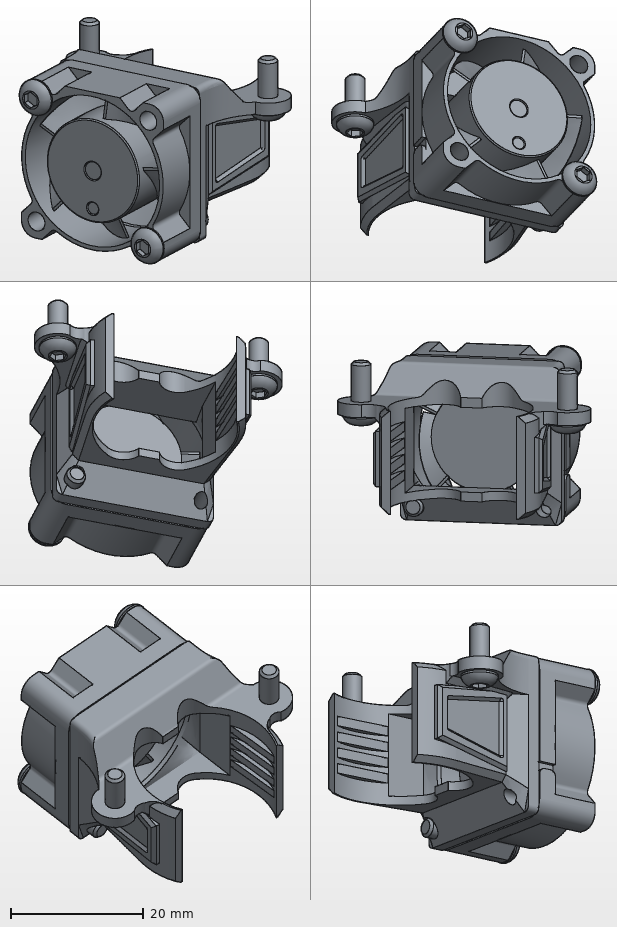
import cadquery as cq
import math


frame_size = 25.42
frame_depth = 10.53
frame_corner_radius = 2.5
flange_depth = 3.0
bore_diameter = 24.0
barrel_radius = 12.67
post_flank_offset = 3.65
pocket_round = 0.75
top_pocket_inner = 4.9
screw_pitch = 20.0

notch_top = -4.3
notch_ledge = -5.3
notch_depth = 0.65
notch_round = 0.97
notch_ledge_margin = 0.05

hub_diameter = 16.5
hub_face_diameter = 16.05
hub_front = 10.45
hub_back = 0.6
blade_count = 5
blade_tip_radius = 11.45
blade_front = 8.95
blade_back = 0.97
blade_twist = 57.0
blade_thickness = 0.43
blade_back_angle = 97.0
shaft_mark_diameter = 3.1
balance_hole_diameter = 2.2
balance_hole_z = -6.05
mark_depth = 0.15

screw_diameter = 3.0
screw_tip_diameter = 2.2
head_diameter = 5.7
head_face_diameter = 2.9
head_height = 1.65
head_rim = 0.3
socket_width = 2.2
socket_depth = 1.0
mount_screw_length = 8.0
fan_screw_length = 15.0
pilot_diameter = 2.2
pilot_depth = 5.45

entry_half = 12.48
entry_depth = 1.95
edge_round = 0.97
ear_top = 7.88
ear_thickness = 2.0
ear_bottom = ear_top - ear_thickness
ear_x = 15.95
ear_y = 13.8
ear_radius = 3.55
ear_flare = 1.0
ear_shift = 0.08
ear_end_angle = 103
ear_back = 18.95
slope_start_y = 5.42
slope_end_y = 9.05
slope_foot_y = 9.75
slope_round = 0.97

wing_half_height = 7.9
wing_back = 22.0
cylinder_y = 16.85
cylinder_radius = 11.0
wing_outer_radius = 12.25
wing_tilt = 6.8
wing_chamfer = 0.97
wing_front = 5.05
transition_side_z = -8.95
tab_half_width = 1.65
tab_y = 9.0
tab_round = 3.05
tab_round_x = 4.4

passage_half_width = 9.7
passage_half_height = 6.5
recess_depth = 0.78

rib_count = 4
rib_pitch = 2.5
rib_height = 1.5
rib_face = [(9.75, 11.7), (9.95, 15.8), (10.15, 21.05)]
rib_outer_x = 11.65
rib_root = 0.2

badge_raise = 0.55
badge_back = 19.45
badge_front = 4.85
badge_back_half_height = 4.25
badge_front_half_height = 6.5
badge_bevel = 0.55
badge_root = 0.78
badge_recess_back = 17.45
badge_recess_front = 6.6
badge_recess_back_half_height = 2.3
badge_recess_front_half_height = 4.25
badge_recess_depth = 0.45
badge_recess_bevel = 0.45

hole_reach = screw_pitch / 2
fan_hole_points = [(x, z) for x in (-hole_reach, hole_reach) for z in (-hole_reach, hole_reach)]
fan_screw_points = [(-hole_reach, hole_reach), (hole_reach, -hole_reach)]
free_hole_points = [(-hole_reach, -hole_reach), (hole_reach, hole_reach)]
mount_points = [(side * ear_x + ear_shift, ear_y) for side in (-1, 1)]


def frontal(y):
    """Sketch plane at Y = y with local axes X and Z; it extrudes toward -Y."""
    return cq.Workplane("XZ", origin=(0, y, 0))


def side_relief():
    """Space between two corner posts outside the barrel, on the +X side."""
    reach = frame_size / 2 + 0.4
    inner = barrel_radius / 2
    outline = [
        (inner, inner - post_flank_offset),
        (reach, reach - post_flank_offset),
        (reach, post_flank_offset - reach),
        (inner, post_flank_offset - inner),
    ]
    depth = frame_depth - flange_depth
    relief = frontal(-flange_depth).polyline(outline).close().extrude(depth)
    relief = relief.cut(frontal(-flange_depth).circle(barrel_radius).extrude(depth))
    return relief.edges("|Y").edges("<X").fillet(pocket_round)


def top_pocket():
    """V-shaped pocket beside the upper right corner post."""
    reach = frame_size / 2
    outer = reach - post_flank_offset
    half_width = (outer - top_pocket_inner) / 2
    outline = [
        (top_pocket_inner, reach),
        (outer, reach),
        (outer - half_width, reach - half_width),
    ]
    pocket = frontal(-flange_depth).polyline(outline).close().extrude(frame_depth - flange_depth)
    return pocket.edges("|Y").edges("<Z").fillet(pocket_round)


def cable_notch():
    """Notch in the left side of the flange above a ledge with rounded corners."""
    left = -frame_size / 2
    ledge_height = notch_round + notch_ledge_margin
    low = notch_ledge - ledge_height
    notch = cq.Workplane("XY").box(notch_depth, flange_depth, notch_top - low, centered=False)
    ledge = cq.Workplane("XY").box(notch_depth, flange_depth, ledge_height, centered=False)
    ledge = ledge.edges("|X and >Z").fillet(notch_round)
    return notch.cut(ledge).translate((left, -flange_depth, low))


def make_frame():
    frame = frontal(0).rect(frame_size, frame_size).extrude(frame_depth)
    frame = frame.edges("|Y").fillet(frame_corner_radius)
    for angle in (0, 90, 180):
        frame = frame.cut(side_relief().rotate((0, 0, 0), (0, 1, 0), angle))
    frame = frame.cut(top_pocket()).cut(top_pocket().mirror("YZ"))
    frame = frame.cut(cable_notch())
    frame = frame.cut(frontal(0).circle(bore_diameter / 2).extrude(frame_depth))
    holes = frontal(0).pushPoints(fan_hole_points).circle(screw_diameter / 2).extrude(frame_depth)
    return frame.cut(holes)


def blade(index):
    """Radial strip twisted about the fan axis, rooted inside the hub."""
    root_radius = hub_diameter / 2 - 0.4
    length = blade_tip_radius - root_radius
    strip = (
        frontal(-blade_back)
        .moveTo(root_radius + length / 2, 0)
        .rect(length, blade_thickness)
        .twistExtrude(blade_front - blade_back, blade_twist)
    )
    angle = blade_back_angle + index * 360 / blade_count
    return strip.rotate((0, 0, 0), (0, 1, 0), -angle)


def hub_mark(z, diameter):
    """Shallow round recess with sloping sides in the hub face."""
    return (
        frontal(-hub_front + mark_depth)
        .center(0, z)
        .circle(diameter / 2 - mark_depth)
        .workplane(offset=mark_depth)
        .circle(diameter / 2)
        .loft()
    )


def make_rotor():
    rotor = frontal(-hub_back).circle(hub_diameter / 2).extrude(hub_front - hub_back)
    rotor = rotor.faces("<Y").chamfer((hub_diameter - hub_face_diameter) / 2)
    for index in range(blade_count):
        rotor = rotor.union(blade(index))
    rotor = rotor.cut(hub_mark(0, shaft_mark_diameter))
    return rotor.cut(hub_mark(balance_hole_z, balance_hole_diameter))


def make_screw(length):
    """Button-head screw along Z: the head lies below Z = 0 and the shaft above it."""
    radius = screw_diameter / 2
    tip_radius = screw_tip_diameter / 2
    head_radius = head_diameter / 2
    face_radius = head_face_diameter / 2
    dome_bulge = 0.2
    dome_mid = (
        (head_radius + face_radius) / 2 + dome_bulge,
        -(head_rim + head_height) / 2 - 0.8 * dome_bulge,
    )
    profile = (
        cq.Workplane("XZ")
        .moveTo(0, -head_height)
        .lineTo(face_radius, -head_height)
        .threePointArc(dome_mid, (head_radius, -head_rim))
        .lineTo(head_radius, 0)
        .lineTo(radius, 0)
        .lineTo(radius, length - (radius - tip_radius))
        .lineTo(tip_radius, length)
        .lineTo(0, length)
        .close()
    )
    screw = profile.revolve(360, (0, 0, 0), (0, 1, 0))
    socket_corners = socket_width / math.cos(math.radians(30))
    socket = cq.Workplane("XY", origin=(0, 0, -head_height)).polygon(6, socket_corners)
    return screw.cut(socket.extrude(socket_depth).rotate((0, 0, 0), (0, 0, 1), 30))


def make_mount_screw(x, y):
    return make_screw(mount_screw_length).translate((x, y, ear_bottom))


def make_fan_screw(x, z):
    screw = make_screw(fan_screw_length).rotate((0, 0, 0), (1, 0, 0), -90)
    return screw.translate((x, -frame_depth, z))


def slope_envelope():
    """Side profile of the top: level over the flange, then down a slope to the ears."""
    envelope = (
        cq.Workplane("YZ", origin=(-ear_x, 0, 0))
        .moveTo(0, ear_bottom)
        .lineTo(0, entry_half)
        .lineTo(slope_start_y, entry_half)
        .lineTo(slope_end_y, ear_top)
        .lineTo(slope_foot_y, ear_top)
        .lineTo(slope_foot_y, ear_bottom)
        .close()
        .extrude(2 * ear_x)
    )
    for y, z in ((slope_start_y, entry_half), (slope_end_y, ear_top)):
        corner = cq.selectors.BoxSelector((-0.4, y - 0.05, z - 0.05), (0.4, y + 0.05, z + 0.05))
        envelope = envelope.edges(corner).fillet(slope_round)
    return envelope


def ear_plate(side, bottom, top):
    """Half of the plate with its ear between two heights, on the +X or -X side."""
    centre_x = ear_x + side * ear_shift
    neck_start = (entry_half, entry_depth)
    neck_end = (centre_x, ear_y - ear_radius)
    neck_dx = neck_end[0] - neck_start[0]
    neck_dy = neck_end[1] - neck_start[1]
    neck_radius = (neck_dx ** 2 + neck_dy ** 2) / (2 * neck_dx)
    half_sweep = math.asin(neck_dy / neck_radius) / 2
    neck_mid = (
        neck_start[0] + neck_radius * (1 - math.cos(half_sweep)),
        neck_start[1] + neck_radius * math.sin(half_sweep),
    )
    end_angle = math.radians(ear_end_angle)
    ear_end = (centre_x + ear_radius * math.cos(end_angle), ear_y + ear_radius * math.sin(end_angle))
    plate = (
        cq.Workplane("XY", origin=(0, 0, bottom))
        .lineTo(entry_half, 0)
        .lineTo(*neck_start)
        .threePointArc(neck_mid, neck_end)
        .threePointArc((centre_x + ear_radius, ear_y), ear_end)
        .threePointArc((13.75, 16.8), (12.85, 17.15))
        .threePointArc((11.65, 17.9), (11.15, ear_back))
        .lineTo(0, ear_back)
        .close()
        .extrude(top - bottom)
    )
    return plate if side > 0 else plate.mirror("YZ")


def shoulder(side):
    """Part above the ear plate that slopes down from the flange, with rounded upper side edges."""
    block = ear_plate(side, ear_bottom, entry_half)
    limit = cq.Workplane("XY").box(4 * ear_x, 2 * slope_foot_y, 2 * entry_half)
    block = block.intersect(limit)
    middle = "<X" if side > 0 else ">X"
    side_edges = block.faces(">Z").edges("not(|X)").edges(f"not({middle})")
    block = side_edges.fillet(edge_round)
    return block.intersect(slope_envelope())


def wing_side_x(y):
    """X of the flat outer side of the +X wing at the given Y."""
    tilt = math.radians(wing_tilt)
    return wing_outer_radius / math.cos(tilt) + (y - cylinder_y) * math.tan(tilt)


def wing_outline(z):
    """Half of the wings at height z: a tilted flat side that runs into an arc around the cylinder."""
    tilt = math.radians(wing_tilt)
    tangent = (wing_outer_radius * math.cos(tilt), cylinder_y - wing_outer_radius * math.sin(tilt))
    back_x = math.sqrt(wing_outer_radius ** 2 - (wing_back - cylinder_y) ** 2)
    return (
        cq.Workplane("XY", origin=(0, 0, z))
        .moveTo(0, wing_front)
        .lineTo(wing_side_x(wing_front), wing_front)
        .lineTo(*tangent)
        .threePointArc((wing_outer_radius, cylinder_y), (back_x, wing_back))
        .lineTo(0, wing_back)
        .close()
    )


def wings():
    """Block with chamfered upper and lower outer edges, later opened by the cylinder."""
    half = wing_outline(-wing_half_height).extrude(wing_half_height + ear_top)
    half = half.edges("#Z").edges("not(|X)").edges("not(<X)").chamfer(wing_chamfer)
    return half.union(half.mirror("YZ"))


def flare():
    """45 degree widening of the wings up to the underside of the ears."""
    half = wing_outline(ear_bottom - ear_flare).extrude(ear_flare, taper=-45)
    half = half.intersect(ear_plate(1, ear_bottom - ear_flare, ear_bottom))
    return half.union(half.mirror("YZ"))


def transition():
    """Tapered piece from the square flange to the narrower, lower wings."""
    side = wing_side_x(wing_front)
    low = wing_half_height
    entry = [
        (entry_half, ear_bottom),
        (entry_half, transition_side_z),
        (entry_half - edge_round, -entry_half),
    ]
    end = [
        (side, ear_bottom),
        (side, wing_chamfer - low),
        (side - wing_chamfer, -low),
    ]

    def ring(half):
        return half + [(-x, z) for x, z in reversed(half)]

    return (
        frontal(wing_front).polyline(ring(end)).close()
        .workplane(offset=wing_front - entry_depth).polyline(ring(entry)).close()
        .loft(ruled=True)
    )


def cylinder_cut():
    """Vertical opening behind the duct: a cylinder with a blunt tab left at the front."""
    run = cylinder_radius - tab_round
    angle = math.asin(tab_round_x / run)
    round_y = cylinder_y - run * math.cos(angle)
    meet_x = cylinder_radius * math.sin(angle)
    meet_y = cylinder_y - cylinder_radius * math.cos(angle)
    tab_foot = round_y - math.sqrt(tab_round ** 2 - (tab_round_x - tab_half_width) ** 2)
    round_low = round_y - tab_round
    return (
        cq.Workplane("XY", origin=(0, 0, -entry_half))
        .moveTo(-tab_half_width, tab_y)
        .lineTo(tab_half_width, tab_y)
        .lineTo(tab_half_width, tab_foot)
        .threePointArc((tab_round_x, round_low), (meet_x, meet_y))
        .threePointArc((0, cylinder_y + cylinder_radius), (-meet_x, meet_y))
        .threePointArc((-tab_round_x, round_low), (-tab_half_width, tab_foot))
        .close()
        .extrude(2 * entry_half)
    )


def air_passage():
    """Shallow round recess, a funnel below the ceiling and a straight rectangular channel."""
    width = 2 * passage_half_width
    height = 2 * passage_half_height
    recess = frontal(recess_depth).circle(bore_diameter / 2).extrude(recess_depth)
    funnel = (
        frontal(wing_front).rect(width, height)
        .workplane(offset=wing_front - recess_depth).circle(bore_diameter / 2)
        .loft()
    )
    ceiling = cq.Workplane("XY", origin=(0, 0, passage_half_height))
    ceiling = ceiling.rect(4 * entry_half, 4 * entry_half).extrude(entry_half)
    channel = frontal(cylinder_y).rect(width, height).extrude(cylinder_y - wing_front)
    return recess.union(funnel.cut(ceiling)).union(channel)


def ribs():
    """Horizontal ribs that fill the hollow of the +X wing up to a flat inner face."""
    outline = rib_face + [(rib_outer_x, rib_face[-1][1]), (rib_outer_x, rib_face[0][1])]
    limit = cq.Workplane("XY", origin=(0, cylinder_y, -wing_half_height))
    limit = limit.circle(cylinder_radius + rib_root).extrude(2 * wing_half_height)
    bars = []
    for index in range(rib_count):
        z = (index - (rib_count - 1) / 2) * rib_pitch - rib_height / 2
        bar = cq.Workplane("XY", origin=(0, 0, z)).polyline(outline).close().extrude(rib_height)
        bars.append(bar.intersect(limit))
    return bars


def trapezoid_prism(offset, back, front, back_half, front_half, inset, height):
    """Trapezoid with bevelled sides, standing on the tilted side of the +X wing."""
    tilt = math.tan(math.radians(wing_tilt))
    base = cq.Plane(origin=(wing_side_x(0), 0, 0), xDir=(tilt, 1, 0), normal=(1, -tilt, 0))
    outline = [(back, back_half), (front, front_half), (front, -front_half), (back, -back_half)]
    prism = cq.Workplane(base).workplane(offset=offset).polyline(outline).close()
    taper = math.degrees(math.atan(inset / height))
    return prism.extrude(height, taper=taper)


def badge():
    """Raised trapezoidal frame with a bevelled edge and a bevelled recess."""
    plate = trapezoid_prism(
        0, badge_back, badge_front, badge_back_half_height, badge_front_half_height,
        badge_bevel, badge_raise,
    )
    root = trapezoid_prism(
        -badge_root, badge_back, badge_front, badge_back_half_height, badge_front_half_height,
        0, badge_root,
    )
    recess = trapezoid_prism(
        badge_raise - badge_recess_depth, badge_recess_back, badge_recess_front,
        badge_recess_back_half_height, badge_recess_front_half_height,
        -badge_recess_bevel, badge_recess_depth,
    )
    return plate.union(root).cut(recess)


def make_duct():
    flange = frontal(entry_depth).rect(2 * entry_half, 2 * entry_half).extrude(entry_depth)
    flange = flange.edges("|Y").fillet(edge_round)
    duct = flange.union(transition()).union(wings()).union(flare())
    for side in (-1, 1):
        duct = duct.union(ear_plate(side, ear_bottom, ear_top)).union(shoulder(side))
    duct = duct.union(badge()).union(badge().mirror("YZ"))
    duct = duct.cut(cylinder_cut()).cut(air_passage())
    for rib in ribs():
        duct = duct.union(rib).union(rib.mirror("YZ"))
    screw_reach = fan_screw_length - frame_depth
    screw_holes = frontal(screw_reach).pushPoints(fan_screw_points).circle(screw_diameter / 2)
    duct = duct.cut(screw_holes.extrude(screw_reach))
    pilots = frontal(pilot_depth).pushPoints(free_hole_points).circle(pilot_diameter / 2)
    duct = duct.cut(pilots.extrude(pilot_depth))
    ear_holes = cq.Workplane("XY", origin=(0, 0, ear_bottom)).pushPoints(mount_points)
    return duct.cut(ear_holes.circle(screw_diameter / 2).extrude(ear_thickness))


duct = make_duct()
frame = make_frame()
rotor = make_rotor()
fan_screws = [make_fan_screw(x, z) for x, z in fan_screw_points]
mount_screws = [make_mount_screw(x, y) for x, y in mount_points]

result = cq.Compound.makeCompound(
    [duct.val(), frame.val(), rotor.val()]
    + [screw.val() for screw in fan_screws]
    + [screw.val() for screw in mount_screws]
)